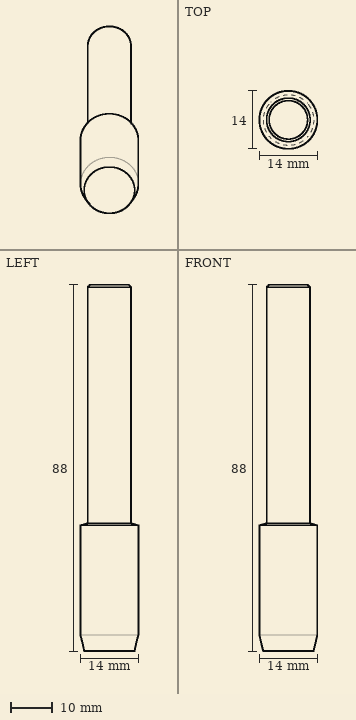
import cadquery as cq

total_length = 88.0
collar_diameter = 14.0
rod_diameter = 10.5

collar_height = 30.7
taper_height = 3.9
tip_diameter = 12.1
shoulder_height = 0.5

rod_length = total_length - collar_height
rod_chamfer = 0.6


def make_collar():
    """Turned collar whose shoulder narrows to the rod diameter."""
    collar_radius = collar_diameter / 2
    half_profile = [
        (0, 0),
        (tip_diameter / 2, 0),
        (collar_radius, taper_height),
        (collar_radius, collar_height - shoulder_height),
        (rod_diameter / 2, collar_height),
        (0, collar_height),
    ]
    return (
        cq.Workplane("XZ")
        .polyline(half_profile)
        .close()
        .revolve(360, (0, 0, 0), (0, 1, 0))
    )


def make_rod():
    """Plain round rod standing on the collar, chamfered at the top."""
    return (
        cq.Workplane("XY")
        .workplane(offset=collar_height)
        .circle(rod_diameter / 2)
        .extrude(rod_length)
        .faces(">Z")
        .chamfer(rod_chamfer)
    )


collar = make_collar()
rod = make_rod()

result = cq.Compound.makeCompound([collar.val(), rod.val()])